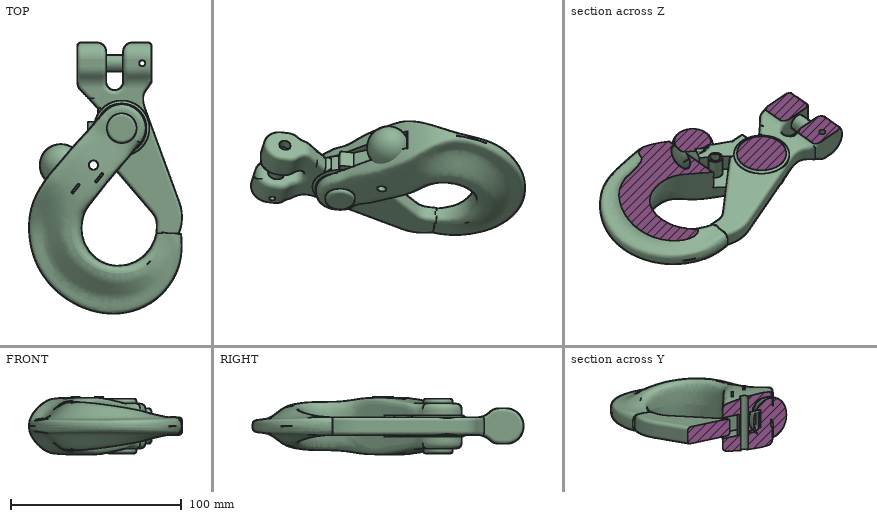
import cadquery as cq
import math


PIVOT_X, PIVOT_Y = 2.6, 58.6
ARM_ANGLE = 51.0
ARM_END_RADIUS = 14.0
ARM_END_HALF = 13.3
ARM_HALF = 16.76
ARM_EDGE_DROP = 4.0
ARM_EDGE_RUN = 6.0
HEAD_RADIUS = 8.7
HEAD_HALF = 16.05
HEAD_ROUND = 1.7

SLOT_HALF = 6.2
SLOT_FLOOR_Y = 27.3
THUMB_X, THUMB_Y, THUMB_RADIUS = -33.0, 37.0, 12.4
SPRING_PIN_X, SPRING_PIN_Y, SPRING_PIN_DIAMETER = -13.9, 37.0, 5.3
SPRING_BUSH_RADIUS = 4.2
LUG_X, LUG_TOP, LUG_BOTTOM, LUG_ROUND = -17.4, 62.4, 54.5, 1.0

PLATE_HALF = 5.25
PLATE_ROUND = 2.2
TIP_JOINT_Y = -2.9
BOSS_RADIUS = 16.2
BOSS_TOP_RADIUS = 14.5

NECK_Y = 76.0
NECK_LEFT, NECK_RIGHT = (-16.7, NECK_Y), (15.2, NECK_Y)
WAIST_RADIUS = 8.5

CLEVIS_TOP = 108.78
CLEVIS_HALF = 10.45
CLEVIS_LEFT, CLEVIS_RIGHT = -23.4, 20.1
CLEVIS_FLAT_TOP, CLEVIS_FLAT_BOTTOM = 99.0, 94.3
CLEVIS_FOOT = 81.3
JAW_CENTRE_X, JAW_HALF, JAW_BOTTOM_CENTRE_Y = -1.55, 4.87, 85.8
JAW_MOUTH_ROUND = 5.5
JAW_RIM_ROUND = 3.0
LOAD_PIN_Y, LOAD_PIN_DIAMETER = 96.6, 9.8
CLEVIS_SIDE_MARGIN = 3.0
LOAD_PIN_HOLE_DIAMETER, LOAD_PIN_HOLE_DEPTH = 6.6, 6.0
ROLL_PIN_X, ROLL_PIN_DIAMETER = 14.6, 3.4

BAR_LENGTH, BAR_WIDTH, BAR_HEIGHT = 6.5, 1.2, 0.5
BAR_ROOT = 2.0
BAR_CENTRES = [(-10.6, 29.6), (-24.4, 23.3)]


def hook_section(origin, angle, inner, outer, crown, crown_run, inner_side, lip, lip_run, outer_side):
    """Closed section wire in the plane that holds Z and the outward direction at `angle`.

    inner, outer: distances from `origin`; crown, lip: half thicknesses at the two shoulders,
    crown_run and lip_run in from the inner and outer side; inner_side, outer_side: half flats."""
    outward = (math.cos(math.radians(angle)), math.sin(math.radians(angle)), 0)
    plane = cq.Plane(origin=(origin[0], origin[1], 0), xDir=outward, normal=(outward[1], -outward[0], 0))
    points = [
        (inner, inner_side), (inner + crown_run, crown), (outer - lip_run, lip), (outer, outer_side),
    ]
    inner_foot, crown_top, lip_top, outer_foot = points
    sketch = cq.Workplane(plane).moveTo(*inner_foot)
    sketch = sketch.spline([crown_top], tangents=[(0, 1), (1, 0)], includeCurrent=True)
    sketch = sketch.spline([lip_top], tangents=[(1, 0), (1, 0)], includeCurrent=True)
    sketch = sketch.spline([outer_foot], tangents=[(1, 0), (0, -1)], includeCurrent=True)
    sketch = sketch.lineTo(outer, -outer_side)
    sketch = sketch.spline([(lip_top[0], -lip)], tangents=[(0, -1), (-1, 0)], includeCurrent=True)
    sketch = sketch.spline([(crown_top[0], -crown)], tangents=[(-1, 0), (-1, 0)], includeCurrent=True)
    sketch = sketch.spline([(inner, -inner_side)], tangents=[(-1, 0), (0, 1)], includeCurrent=True)
    return sketch.close().val()


def hook_sections():
    """Sections from the pivot down the straight arm and then round the bowl to the tip."""
    arm_dir = (math.cos(math.radians(ARM_ANGLE)), math.sin(math.radians(ARM_ANGLE)))
    sections = []
    arm_stations = [
        (0, -ARM_END_RADIUS, ARM_END_RADIUS, ARM_END_HALF),
        (10, -13.7, 14.3, ARM_END_HALF + 0.1),
        (21, -13.4, 15.0, 15.2),
        (32, -13.3, 15.4, ARM_HALF - 0.2),
        (42, -13.4, 15.6, ARM_HALF - 0.1),
    ]
    for distance, inner, outer, half in arm_stations:
        foot = (PIVOT_X - distance * arm_dir[0], PIVOT_Y - distance * arm_dir[1])
        side = half - ARM_EDGE_DROP
        sections.append(
            hook_section(
                foot, ARM_ANGLE + 90, inner, outer, half, ARM_EDGE_RUN, side, half, ARM_EDGE_RUN, side
            )
        )
    bowl_stations = [
        (144, 21.3, 50.6, 16.4, 6.0, 10.0, 15.9, 6.0, 12.3),
        (162, 21.0, 51.5, 15.3, 6.0, 5.0, 9.8, 5.0, 6.4),
        (180, 20.8, 51.7, 14.4, 6.0, 2.0, 4.0, 4.0, 0.5),
        (205, 21.0, 51.5, 14.2, 6.0, 1.5, 3.8, 4.0, 0.4),
        (235, 21.4, 50.7, 13.5, 5.0, 1.5, 3.8, 5.0, 0.4),
        (270, 21.8, 49.9, 11.5, 4.5, 1.5, 3.9, 5.0, 0.4),
        (300, 22.2, 47.0, 9.0, 5.0, 1.0, 4.3, 4.0, 0.4),
        (330, 22.6, 42.0, 6.2, 4.0, 0.6, 4.8, 4.0, 0.4),
        (355, 23.0, 37.6, 5.3, 4.0, 0.5, 5.1, 4.0, 0.4),
    ]
    for angle, *sizes in bowl_stations:
        sections.append(hook_section((0, 0), angle, *sizes))
    return sections


def cylinder_z(x, y, radius, half):
    return cq.Workplane("XY", origin=(x, y, -half)).circle(radius).extrude(2 * half)


def make_arm_end():
    """Half round turned about the pivot, with the same edge rounding as the arm."""
    across = (math.cos(math.radians(ARM_ANGLE - 90)), math.sin(math.radians(ARM_ANGLE - 90)), 0)
    plane = cq.Plane(origin=(PIVOT_X, PIVOT_Y, 0), xDir=across, normal=(across[1], -across[0], 0))
    side = ARM_END_HALF - ARM_EDGE_DROP
    flat = ARM_END_RADIUS - ARM_EDGE_RUN
    profile = (
        cq.Workplane(plane)
        .moveTo(0, ARM_END_HALF)
        .lineTo(flat, ARM_END_HALF)
        .spline([(ARM_END_RADIUS, side)], tangents=[(1, 0), (0, -1)], includeCurrent=True)
        .lineTo(ARM_END_RADIUS, -side)
        .spline([(flat, -ARM_END_HALF)], tangents=[(0, -1), (-1, 0)], includeCurrent=True)
        .lineTo(0, -ARM_END_HALF)
        .close()
    )
    return profile.revolve(180, (0, 0), (0, 1))


def make_hook():
    """Arm and bowl lofted in one sweep, round arm end, fork slot and thumb recess."""
    hook = cq.Workplane(cq.Solid.makeLoft(hook_sections()))
    hook = hook.union(make_arm_end())
    slot_size = 2 * CLEVIS_TOP
    slot = cq.Workplane("XY", origin=(0, SLOT_FLOOR_Y, 0)).box(
        slot_size, slot_size, 2 * SLOT_HALF, centered=(True, False, True)
    )
    thumb = cq.Workplane("XY", origin=(THUMB_X, THUMB_Y, 0)).sphere(THUMB_RADIUS)
    return hook.cut(slot).cut(thumb)


def make_latch_plate():
    """Flat latch from the clevis neck, past the pivot, to the hook tip."""
    plate = (
        cq.Workplane("XY", origin=(0, 0, -PLATE_HALF))
        .moveTo(*NECK_LEFT)
        .lineTo(-11.3, 70.0)
        .lineTo(-12.5, 47.8)
        .lineTo(20.5, 9.1)
        .tangentArcPoint((23.0, 1.5), relative=False)
        .lineTo(22.9, TIP_JOINT_Y)
        .lineTo(36.1, TIP_JOINT_Y)
        .threePointArc((37.95, 6.6), (36.4, 15.2))
        .lineTo(16.2, 70.4)
        .tangentArcPoint(NECK_RIGHT, relative=False)
        .close()
        .extrude(2 * PLATE_HALF)
    )
    return plate.faces("|Z").edges("not |X").fillet(PLATE_ROUND)


def make_boss():
    """Pivot boss of the latch, tapering out to the slot walls."""
    boss = cylinder_z(PIVOT_X, PIVOT_Y, BOSS_RADIUS, SLOT_HALF)
    return boss.faces("|Z").edges().chamfer(SLOT_HALF - PLATE_HALF, BOSS_RADIUS - BOSS_TOP_RADIUS)


def make_jaw():
    """Cutter for the open jaw: straight sides and a round bottom."""
    left, right = JAW_CENTRE_X - JAW_HALF, JAW_CENTRE_X + JAW_HALF
    jaw = (
        cq.Workplane("XY", origin=(0, 0, -CLEVIS_HALF))
        .moveTo(left, CLEVIS_TOP)
        .lineTo(left, JAW_BOTTOM_CENTRE_Y)
        .threePointArc((JAW_CENTRE_X, JAW_BOTTOM_CENTRE_Y - JAW_HALF), (right, JAW_BOTTOM_CENTRE_Y))
        .lineTo(right, CLEVIS_TOP)
        .close()
    )
    return jaw.extrude(2 * CLEVIS_HALF)


def make_jaw_flare():
    """Cutter that rounds both corners of the jaw mouth."""
    left, right = JAW_CENTRE_X - JAW_HALF, JAW_CENTRE_X + JAW_HALF
    flare = (
        cq.Workplane("XY", origin=(0, 0, -CLEVIS_HALF))
        .moveTo(left - JAW_MOUTH_ROUND, CLEVIS_TOP)
        .radiusArc((left, CLEVIS_TOP - JAW_MOUTH_ROUND), JAW_MOUTH_ROUND)
        .lineTo(right, CLEVIS_TOP - JAW_MOUTH_ROUND)
        .radiusArc((right + JAW_MOUTH_ROUND, CLEVIS_TOP), JAW_MOUTH_ROUND)
        .close()
    )
    return flare.extrude(2 * CLEVIS_HALF)


def make_clevis():
    """Two ears with an open jaw: plan outline crossed with the ear's side outline."""
    plan = (
        cq.Workplane("XY", origin=(0, 0, -CLEVIS_HALF))
        .moveTo(CLEVIS_LEFT, CLEVIS_TOP)
        .lineTo(CLEVIS_LEFT, 85.4)
        .threePointArc((-22.9, 83.0), (-21.6, 81.0))
        .lineTo(*NECK_LEFT)
        .lineTo(*NECK_RIGHT)
        .radiusArc((17.4, 81.6), WAIST_RADIUS)
        .lineTo(CLEVIS_RIGHT, 85.6)
        .lineTo(CLEVIS_RIGHT, CLEVIS_TOP)
        .close()
        .extrude(2 * CLEVIS_HALF)
    )
    side = (
        cq.Workplane("YZ", origin=(CLEVIS_LEFT, 0, 0))
        .moveTo(CLEVIS_FLAT_TOP, CLEVIS_HALF)
        .lineTo(CLEVIS_FLAT_BOTTOM, CLEVIS_HALF)
        .tangentArcPoint((89.0, 8.4), relative=False)
        .threePointArc((85.5, 6.0), (CLEVIS_FOOT, PLATE_HALF))
        .lineTo(NECK_Y, PLATE_HALF)
        .lineTo(NECK_Y, -PLATE_HALF)
        .lineTo(CLEVIS_FOOT, -PLATE_HALF)
        .threePointArc((85.5, -6.0), (89.0, -8.2))
        .threePointArc((91.6, -9.9), (CLEVIS_FLAT_BOTTOM, -CLEVIS_HALF))
        .lineTo(CLEVIS_FLAT_TOP, -CLEVIS_HALF)
        .threePointArc((CLEVIS_TOP, 0), (CLEVIS_FLAT_TOP, CLEVIS_HALF))
        .close()
        .extrude(CLEVIS_RIGHT - CLEVIS_LEFT)
    )
    ears = plan.intersect(side)
    ears = ears.edges("not(|X or |Z)").fillet(PLATE_ROUND)
    reach = JAW_HALF + 1
    jaw_zone = cq.selectors.BoxSelector(
        (JAW_CENTRE_X - reach, NECK_Y, -CLEVIS_TOP), (JAW_CENTRE_X + reach, CLEVIS_TOP, CLEVIS_TOP)
    )
    rims = ears.cut(make_jaw()).edges(jaw_zone).edges("not(|X or |Z)")
    return rims.fillet(JAW_RIM_ROUND).cut(make_jaw_flare())


def make_trigger():
    """Release trigger in the fork slot, with a thumb hollow and a spring pin bush."""
    lever = (
        cq.Workplane("XY", origin=(0, 0, -PLATE_HALF))
        .moveTo(PIVOT_X, PIVOT_Y)
        .lineTo(PIVOT_X, LUG_TOP)
        .lineTo(LUG_X + LUG_ROUND, LUG_TOP)
        .radiusArc((LUG_X, LUG_TOP - LUG_ROUND), -LUG_ROUND)
        .lineTo(LUG_X, LUG_BOTTOM)
        .lineTo(-25.0, 41.6)
        .threePointArc((-25.4, 37.6), (-28.0, 34.4))
        .lineTo(-21.0, 30.7)
        .close()
        .extrude(2 * PLATE_HALF)
    )
    return lever.union(cylinder_z(SPRING_PIN_X, SPRING_PIN_Y, SPRING_BUSH_RADIUS, SLOT_HALF))


def make_gauge_bars():
    bars = cq.Workplane("XY")
    bar_size = (BAR_LENGTH, BAR_WIDTH, BAR_HEIGHT + BAR_ROOT)
    for x, y in BAR_CENTRES:
        bar = cq.Workplane("XY").box(*bar_size, centered=(True, True, False))
        bars = bars.union(bar.rotate((0, 0, 0), (0, 0, 1), ARM_ANGLE).translate((x, y, ARM_HALF - BAR_ROOT)))
    return bars


def make_pivot_pin():
    return cylinder_z(PIVOT_X, PIVOT_Y, HEAD_RADIUS, HEAD_HALF).faces("|Z").edges().fillet(HEAD_ROUND)


def make_load_pin():
    end = CLEVIS_RIGHT - CLEVIS_SIDE_MARGIN
    pin = cq.Workplane("YZ", origin=(CLEVIS_LEFT + CLEVIS_SIDE_MARGIN, LOAD_PIN_Y, 0))
    return pin.circle(LOAD_PIN_DIAMETER / 2).extrude(end - CLEVIS_LEFT - CLEVIS_SIDE_MARGIN)


def make_load_pin_hole():
    hole = cq.Workplane("YZ", origin=(CLEVIS_LEFT, LOAD_PIN_Y, 0))
    return hole.circle(LOAD_PIN_HOLE_DIAMETER / 2).extrude(LOAD_PIN_HOLE_DEPTH)


added_parts = [
    make_clevis(), make_latch_plate(), make_boss(), make_trigger(), make_pivot_pin(), make_load_pin(),
    make_gauge_bars(),
]
through_holes = [
    cylinder_z(SPRING_PIN_X, SPRING_PIN_Y, SPRING_PIN_DIAMETER / 2, 2 * ARM_HALF),
    cylinder_z(ROLL_PIN_X, LOAD_PIN_Y, ROLL_PIN_DIAMETER / 2, 2 * CLEVIS_HALF),
]

result = make_hook()
for part in added_parts:
    result = result.union(part)
for hole in through_holes:
    result = result.cut(hole)
result = result.cut(make_load_pin_hole())